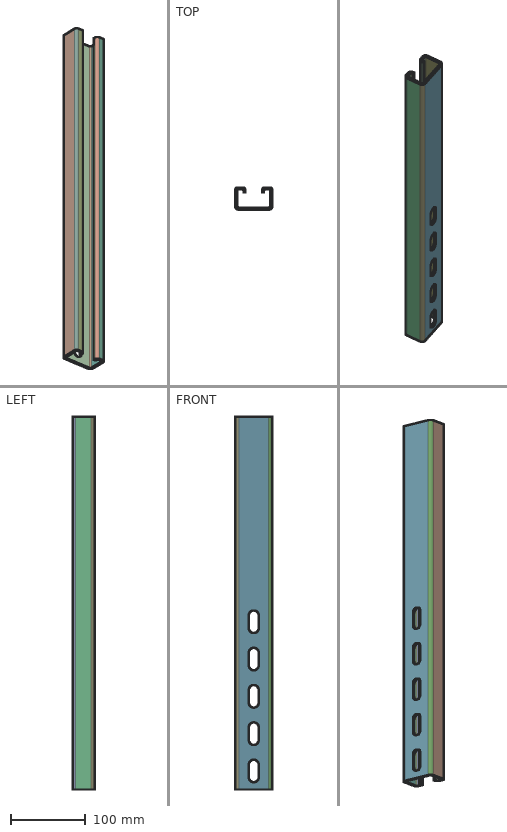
import cadquery as cq

WIDTH = 50.0
DEPTH = 30.0
LENGTH = 500.0
THICKNESS = 3.0
WEB_OUTER_RADIUS = 5.0
LIP_OUTER_RADIUS = 4.0
MOUTH_WIDTH = 22.0
LIP_HEIGHT = 7.0

SLOT_COUNT = 5
SLOT_PITCH = 50.0
SLOT_LENGTH = 30.0
SLOT_WIDTH = 13.0

LIP_INNER_RADIUS = LIP_OUTER_RADIUS - THICKNESS
FIRST_SLOT_Z = SLOT_PITCH / 2
WEB_Y = -DEPTH / 2
OPEN_Y = DEPTH / 2
CUT_MARGIN = 1.0


def rounded_bar(inset):
    """Full-length bar inside the outline by the inset, its long edges following the bends."""
    bar = cq.Workplane("XY").rect(WIDTH - 2 * inset, DEPTH - 2 * inset).extrude(LENGTH)
    bar = bar.edges("|Z and <Y").fillet(WEB_OUTER_RADIUS - inset)
    return bar.edges("|Z and >Y").fillet(LIP_OUTER_RADIUS - inset)


def closed_tube():
    """Box section with bent corners, before the mouth is opened."""
    return rounded_bar(0).cut(rounded_bar(THICKNESS))


def mouth_cutter():
    """Block that removes the open face, mouth and lip bends included."""
    bend_span = MOUTH_WIDTH + 2 * LIP_OUTER_RADIUS
    height = THICKNESS + 2 * CUT_MARGIN
    center_y = OPEN_Y - THICKNESS / 2
    return cq.Workplane("XY").center(0, center_y).rect(bend_span, height).extrude(LENGTH)


def lip(side):
    """Lip bent back into the channel; side is -1 for left and +1 for right."""
    bend_x = side * (MOUTH_WIDTH / 2 + LIP_OUTER_RADIUS)
    outer_x = side * MOUTH_WIDTH / 2
    inner_x = outer_x + side * THICKNESS
    bend_y = OPEN_Y - LIP_OUTER_RADIUS
    end_y = OPEN_Y - LIP_HEIGHT
    profile = (
        cq.Workplane("XY")
        .moveTo(bend_x, OPEN_Y)
        .radiusArc((outer_x, bend_y), side * -LIP_OUTER_RADIUS)
        .lineTo(outer_x, end_y)
        .lineTo(inner_x, end_y)
        .lineTo(inner_x, bend_y)
        .radiusArc((bend_x, OPEN_Y - THICKNESS), side * LIP_INNER_RADIUS)
        .close()
    )
    return profile.extrude(LENGTH)


def web_slots():
    """Row of long slots through the web, starting near the lower end."""
    centers = [(0, FIRST_SLOT_Z + i * SLOT_PITCH) for i in range(SLOT_COUNT)]
    return (
        cq.Workplane("XZ", origin=(0, WEB_Y - CUT_MARGIN, 0))
        .pushPoints(centers)
        .slot2D(SLOT_LENGTH, SLOT_WIDTH, angle=90)
        .extrude(-(THICKNESS + 2 * CUT_MARGIN))
    )


channel = closed_tube().cut(mouth_cutter())
for lip_side in (-1, 1):
    channel = channel.union(lip(lip_side))
result = channel.cut(web_slots())